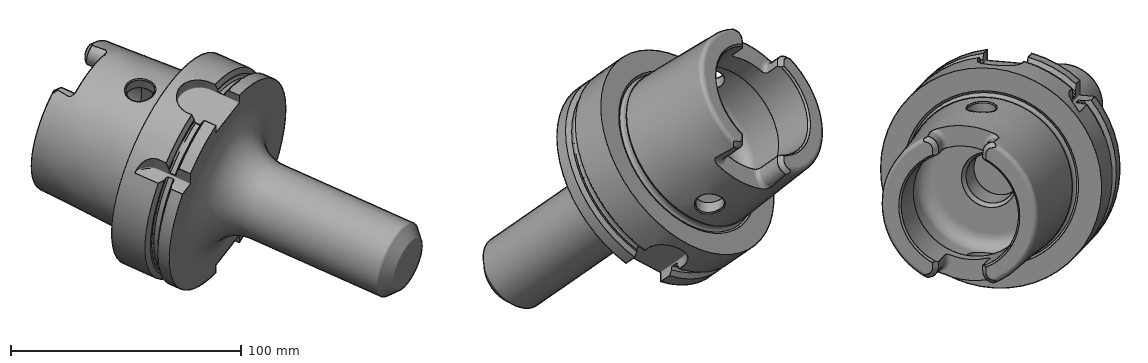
import cadquery as cq
import math


total_length = 170
taper_end = 47.1
flange_start = 50.0
flange_end = 79.0

gauge_x = 45.9
gauge_radius = 37.5
taper_slope = 1 / 20
tip_rounding = 2.0
undercut_depth = 0.3
undercut_corner_radius = 1.4
undercut_face_depth = 0.5
undercut_face_radius = 39.6

bore_radius = 26.5
bore_mouth_chamfer = 0.8
bore_depth = 20.0
chamber_radius = 31.5
chamber_shoulder_angle = math.radians(60)
chamber_end = 40.6
chamber_corner_radius = 6.6
coolant_radius = 11.2
coolant_mouth_radius = 12.5
coolant_mouth_depth = 2.4
coolant_depth = 15.0

cross_hole_x = 35.0
cross_hole_radius = 6.3
cross_hole_chamfer = 0.5

keyway_width = 20.0
keyway_lip_height = 32.1
keyway_lip_radius = 5.3
upper_keyway_depth = 10.0
lower_keyway_depth = 15.0
keyway_tip_chamfer = 2.0
keyway_floor_rounding = 2.0

flange_radius = 50.0
groove_x = 70.0
groove_half_width = 3.2
groove_root_half_width = 1.9
groove_root_radius = 45.9
groove_flank_angle = math.radians(30)
groove_root_rounding = 0.7

slot_start = 54.9
slot_floor_rounding = 0.3
slot_width = 20.0
slot_floor = 44.0
notch_offset = 31.8
notch_corner_radius = 8.0

arbor_radius = 17.5
neck_radius = 20.0
arbor_chamfer = 5.1
arbor_edge_rounding = 0.8

pick_margin = 0.2


def turned_body():
    """Solid of revolution holding the taper, flange, neck and arbor."""
    tip_radius = gauge_radius - taper_slope * gauge_x
    taper_end_radius = tip_radius + taper_slope * taper_end
    undercut_floor = taper_end_radius - undercut_depth
    undercut_bottom = flange_start + undercut_face_depth
    undercut_mid = undercut_corner_radius * (1 - math.sqrt(0.5))
    neck_end = flange_end + neck_radius
    neck_mid = neck_radius * math.sqrt(0.5)
    profile = (
        cq.Workplane("XY")
        .moveTo(0, 0)
        .lineTo(0, tip_radius)
        .lineTo(taper_end, taper_end_radius)
        .lineTo(taper_end + 2 * undercut_depth, undercut_floor)
        .lineTo(undercut_bottom - undercut_corner_radius, undercut_floor)
        .threePointArc(
            (undercut_bottom - undercut_mid, undercut_floor + undercut_mid),
            (undercut_bottom, undercut_floor + undercut_corner_radius),
        )
        .lineTo(flange_start, undercut_face_radius)
        .lineTo(flange_start, flange_radius)
        .lineTo(flange_end, flange_radius)
        .lineTo(flange_end, arbor_radius + neck_radius)
        .threePointArc(
            (neck_end - neck_mid, arbor_radius + neck_radius - neck_mid),
            (neck_end, arbor_radius),
        )
        .lineTo(total_length, arbor_radius)
        .lineTo(total_length, 0)
        .close()
    )
    body = profile.revolve(360, (0, 0, 0), (1, 0, 0))
    body = body.faces(">X").edges().chamfer(arbor_chamfer)
    chamfer_edges = cq.selectors.BoxSelector(
        (total_length - arbor_chamfer - pick_margin, -flange_radius, -flange_radius),
        (total_length + pick_margin, flange_radius, flange_radius),
    )
    return body.edges("%CIRCLE").edges(chamfer_edges).fillet(arbor_edge_rounding)


def gripper_groove():
    """Ring cutter with sloped flanks and a rounded root."""
    flank_depth = (groove_half_width - groove_root_half_width) / math.tan(groove_flank_angle)
    flank_end = flange_radius - flank_depth
    ring = (
        cq.Workplane("XY")
        .moveTo(groove_x - groove_half_width, flange_radius)
        .lineTo(groove_x - groove_root_half_width, flank_end)
        .lineTo(groove_x - groove_root_half_width, groove_root_radius)
        .lineTo(groove_x + groove_root_half_width, groove_root_radius)
        .lineTo(groove_x + groove_root_half_width, flank_end)
        .lineTo(groove_x + groove_half_width, flange_radius)
        .close()
        .revolve(360, (0, 0, 0), (1, 0, 0))
    )
    root_edges = cq.selectors.RadiusNthSelector(0)
    return ring.edges("%CIRCLE").edges(root_edges).fillet(groove_root_rounding)


def internal_bore():
    """Cavity at the tip: a bore opening into a wider chamber, with a coolant socket in its floor."""
    mouth_radius = bore_radius + bore_mouth_chamfer
    shoulder_length = (chamber_radius - bore_radius) / math.tan(chamber_shoulder_angle)
    floor_x = chamber_end + chamber_corner_radius
    corner_mid = chamber_corner_radius * (1 - math.sqrt(0.5))
    coolant_end = floor_x + coolant_depth
    return (
        cq.Workplane("XY")
        .moveTo(0, 0)
        .lineTo(0, mouth_radius)
        .lineTo(bore_mouth_chamfer, bore_radius)
        .lineTo(bore_depth, bore_radius)
        .lineTo(bore_depth + shoulder_length, chamber_radius)
        .lineTo(chamber_end, chamber_radius)
        .threePointArc(
            (floor_x - corner_mid, chamber_radius - corner_mid),
            (floor_x, chamber_radius - chamber_corner_radius),
        )
        .lineTo(floor_x, coolant_mouth_radius)
        .lineTo(floor_x + coolant_mouth_depth, coolant_radius)
        .lineTo(coolant_end, coolant_radius)
        .lineTo(coolant_end, 0)
        .close()
        .revolve(360, (0, 0, 0), (1, 0, 0))
    )


def keyway_lug(depth):
    """Prism left standing on the +Y side of the keyway, chamfered along its tip edge."""
    wall = keyway_width / 2
    lip_start = keyway_lip_height - keyway_lip_radius
    mid = keyway_lip_radius * (1 - math.sqrt(0.5))
    tip_edges = cq.selectors.BoxSelector(
        (-pick_margin, 0, pick_margin),
        (pick_margin, flange_radius - pick_margin, flange_radius),
    )
    return (
        cq.Workplane("YZ")
        .moveTo(wall, 0)
        .lineTo(wall, lip_start)
        .threePointArc(
            (wall + mid, keyway_lip_height - mid),
            (wall + keyway_lip_radius, keyway_lip_height),
        )
        .lineTo(flange_radius, keyway_lip_height)
        .lineTo(flange_radius, 0)
        .close()
        .extrude(depth)
        .edges(tip_edges)
        .chamfer(keyway_tip_chamfer)
    )


def keyway(depth):
    """Cutter for the keyway on the +Z side, with rounded lips and a rounded floor."""
    lug = keyway_lug(depth)
    cutter = (
        cq.Workplane("XY")
        .box(depth, 2 * flange_radius, flange_radius, centered=(False, True, False))
        .cut(lug)
        .cut(lug.mirror("XZ"))
    )
    wall_floor_edges = cq.selectors.BoxSelector(
        (depth - pick_margin, -flange_radius + pick_margin, pick_margin),
        (depth + pick_margin, flange_radius - pick_margin, keyway_lip_height + pick_margin),
    )
    return cutter.edges(wall_floor_edges).fillet(keyway_floor_rounding)


def rim_slot():
    """Cutter for the round-ended, flat-floored slot on the +Z side of the flange."""
    end_radius = slot_width / 2
    arc_x = slot_start + end_radius
    return (
        cq.Workplane("XY", origin=(0, 0, slot_floor))
        .moveTo(flange_end, end_radius)
        .lineTo(arc_x, end_radius)
        .threePointArc((slot_start, 0), (arc_x, -end_radius))
        .lineTo(flange_end, -end_radius)
        .close()
        .extrude(flange_radius - slot_floor)
        .faces("<Z")
        .edges("not >X")
        .fillet(slot_floor_rounding)
    )


def orientation_notch():
    """Cutter for the corner notch on the -Y, +Z side of the flange."""
    length = flange_end - slot_start
    reach = flange_radius - notch_offset
    return (
        cq.Workplane("XY", origin=(slot_start, -flange_radius, notch_offset))
        .rect(length, reach, centered=False)
        .extrude(reach)
        .edges("|Z and <X and >Y")
        .fillet(notch_corner_radius)
        .faces("<Z")
        .edges("not (>X or <Y)")
        .fillet(slot_floor_rounding)
    )


def opposite(cutter):
    """The same cutter turned half a turn about the part's axis."""
    return cutter.rotate((0, 0, 0), (1, 0, 0), 180)


def cross_hole():
    """Through cutter along Z for the two holes in the taper wall."""
    return (
        cq.Workplane("XY", origin=(cross_hole_x, 0, -flange_radius))
        .circle(cross_hole_radius)
        .extrude(2 * flange_radius)
    )


result = turned_body().faces("<X").edges().fillet(tip_rounding)
result = result.cut(gripper_groove()).cut(internal_bore())

result = result.cut(keyway(upper_keyway_depth)).cut(opposite(keyway(lower_keyway_depth)))

result = result.cut(rim_slot()).cut(opposite(rim_slot())).cut(orientation_notch())

result = result.cut(cross_hole())
mouth_zone = cross_hole_radius + cross_hole_chamfer
for side in (1, -1):
    mouth_edge = cq.selectors.BoxSelector(
        (cross_hole_x - mouth_zone, -mouth_zone, side * chamber_radius),
        (cross_hole_x + mouth_zone, mouth_zone, side * flange_radius),
    )
    result = result.edges(mouth_edge).chamfer(cross_hole_chamfer)